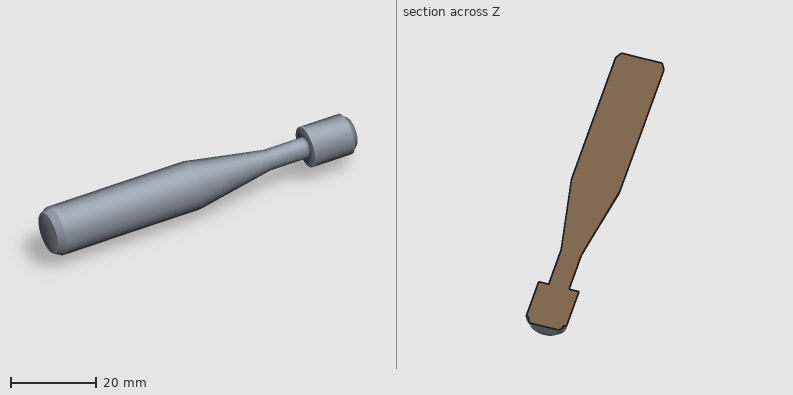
import cadquery as cq

length = 80.0
shank_diameter = 12.0
head_diameter = 10.0
neck_diameter = 5.1

chamfer_length = 1.8
chamfer_depth = 1.0

taper_length = 20.0
neck_length = 10.2
head_length = 10.5
tip_length = 1.5

tip_base_diameter = 8.6
tip_end_diameter = 6.9
tip_bulge = 0.2

shank_radius = shank_diameter / 2
head_radius = head_diameter / 2
neck_radius = neck_diameter / 2
tip_base_radius = tip_base_diameter / 2
tip_end_radius = tip_end_diameter / 2

y_back = -length / 2
y_tip = length / 2
y_head_front = y_tip - tip_length
y_head_back = y_head_front - head_length
y_neck_back = y_head_back - neck_length
y_taper_back = y_neck_back - taper_length

result = (
    cq.Workplane("XY")
    .moveTo(0, y_back)
    .lineTo(shank_radius - chamfer_depth, y_back)
    .lineTo(shank_radius, y_back + chamfer_length)
    .lineTo(shank_radius, y_taper_back)
    .lineTo(neck_radius, y_neck_back)
    .lineTo(neck_radius, y_head_back)
    .lineTo(head_radius, y_head_back)
    .lineTo(head_radius, y_head_front)
    .lineTo(tip_base_radius, y_head_front)
    .sagittaArc((tip_end_radius, y_tip), -tip_bulge)
    .lineTo(0, y_tip)
    .close()
    .revolve(360, (0, 0, 0), (0, 1, 0))
)